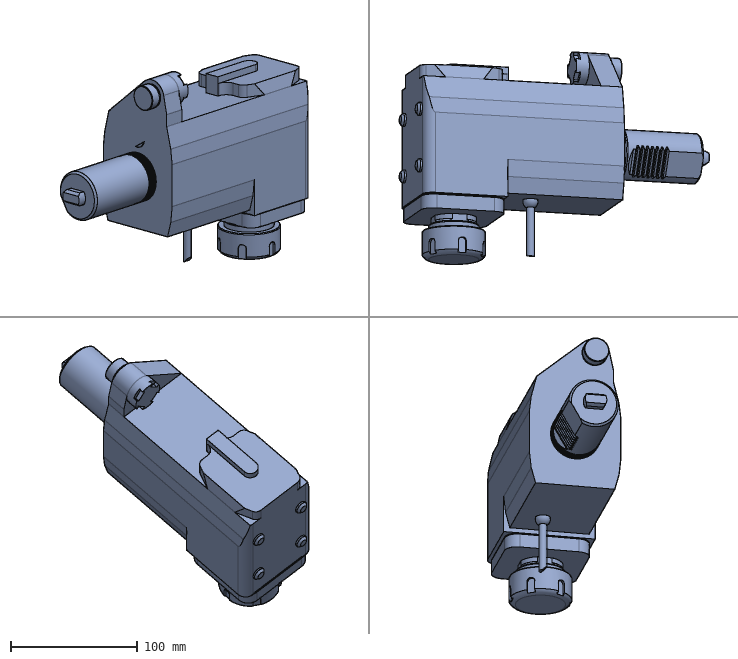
import cadquery as cq
import math


CLEARANCE = 2.5

BODY_HALF_WIDTH = 37.0
BODY_REAR = 163.7
BODY_TOP = 48.0
BODY_BOTTOM = -43.1
TOP_HALF_WIDTH = 31.1
BOTTOM_HALF_WIDTH = 32.0
KNEE_HALF_WIDTH = 35.5
KNEE_HEIGHT = 30.5
WALL_TOP = 18.0
WALL_BOTTOM = -17.0
UPPER_SIDE = [(TOP_HALF_WIDTH, BODY_TOP), (KNEE_HALF_WIDTH, KNEE_HEIGHT), (BODY_HALF_WIDTH, WALL_TOP)]

HEAD_FRONT = 95.8
HEAD_BOTTOM = -46.8
HEAD_CORNER = 8.3
FLANGE_BOTTOM = -58.8
FLANGE_HALF_WIDTH = 34.3
FLANGE_CORNER = 10.3
FLANGE_GROOVE = 0.7
SPINDLE_Y = (HEAD_FRONT + BODY_REAR) / 2
HEAD_LENGTH = BODY_REAR - HEAD_FRONT

CAP_TOP = 58.3
CAP_TOP_HALF_WIDTH = 28.0
CAP_END_HALF_WIDTH = 24.0
CAP_POINT_HALF_WIDTH = 37.3
CAP_CORNER = 6.1
BAR_TOP = 64.0
BAR_HALF_WIDTH = 6.4
BAR_FRONT = 86.5
BAR_REAR = 136.5
TAB_FILLET = 7.8

SCREW_SPACING_X = 46.0
SCREW_SPACING_Z = 45.5
SCREW_DIAMETER = 10.5
SCREW_HEIGHT = 3.5
SCREW_CHAMFER = 2.0

PIN_X = 15.2
PIN_Z = 70.5
EAR_RADIUS = 13.0
EAR_THICKNESS = 17.6
EAR_SHOULDER_Z = 58.0
PIN_DIAMETER = 20.0
PIN_NECK_DIAMETER = 18.9
PIN_NECK_LENGTH = 1.5
PIN_LENGTH = 10.3
PIN_CHAMFER = 0.5
PIN_HEAD_DIAMETER = 26.0
PIN_HEAD_REAR = 28.2
NOTCH_WIDTH = 8.8
NOTCH_DEPTH = 3.7
NOTCH_RADIAL = 3.5
NOTCH_COUNT = 4
NOTCH_FIRST_ANGLE = 45

SHANK_DIAMETER = 40.0
SHANK_END = -70.3
SHANK_CHAMFER = 1.7
RING_GROOVE_WIDTH = 1.5
RING_GROOVE_DEPTH = 0.7
RING_GROOVE_STARTS = (-1.0, -3.5, -6.4)

FLAT_TURN = 30
FLAT_DISTANCE = 17.0
FLAT_START = -12.3
TOOTH_FIRST = -16.0
TOOTH_SPAN = 24.0
TOOTH_COUNT = 7
TOOTH_PITCH = TOOTH_SPAN / (TOOTH_COUNT - 1)
TOOTH_DEPTH = 2.0
TOOTH_MOUTH = 3.5
TOOTH_ROOT = 1.0

TANG_DIAMETER = 17.5
TANG_HEIGHT = 10.8
TANG_END = -78.0
TANG_CHAMFER_HEIGHT = 2.0
TANG_CHAMFER_LENGTH = 3.0

MARK_DEPTH = 0.7
MARK_TAIL = (-2.5, 24.5)
MARK_BELLY = (4.0, 26.0)
MARK_TIP = (6.4, 30.1)

NECK_DIAMETER = 36.0
NECK_END = -62.7
COLLAR_DIAMETER = 40.0
COLLAR_START = -65.7
COLLAR_CHAMFER = 1.2
NUT_RADIUS = 25.0
NUT_START = -69.9
NUT_EDGE = 0.7
NUT_BOTTOM = -92.5
NUT_FACE_RADIUS = 19.9
NUT_BEVEL_HEIGHT = 3.5
NUT_BEVEL_MIDDLE_RADIUS = 23.0
NUT_BEVEL_MIDDLE_HEIGHT = 1.2
WRENCH_SIZE = 34.0
WRENCH_FLAT_END = -64.7
WRENCH_FLAT_COUNT = 4
SLOT_WIDTH = 6.4
SLOT_TOP = -79.0
SLOT_FLOOR_RADIUS = 23.0
SLOT_COUNT = 6

NOZZLE_X = -11.0
NOZZLE_Y = 69.9
BALL_DIAMETER = 12.0
BALL_DROP = 1.2
TUBE_DIAMETER = 6.4
TUBE_END = -88.7
TUBE_BEVEL = 4.0


def front_plane(y):
    """Plane facing the shank at the given y, with local x along X and local y along Z."""
    return cq.Workplane("XZ", origin=(0, y, 0))


def column(x, y, diameter, length, z=0.0):
    """Round bar along Y that starts at y and runs towards the shank tip."""
    return front_plane(y).center(x, z).circle(diameter / 2).extrude(length)


def mirrored(points):
    """Closed outline made of the right-hand points and their mirror images."""
    return points + [(-x, z) for x, z in reversed(points)]


def main_body():
    lower = [
        (BODY_HALF_WIDTH, WALL_BOTTOM),
        (KNEE_HALF_WIDTH, -KNEE_HEIGHT),
        (BOTTOM_HALF_WIDTH, BODY_BOTTOM),
    ]
    outline = mirrored(UPPER_SIDE + lower)
    return front_plane(HEAD_FRONT).polyline(outline).close().extrude(HEAD_FRONT)


def head_prism(right_side):
    """Prism over the length of the housing with the given right-hand outline and its mirror image."""
    return front_plane(BODY_REAR).polyline(mirrored(right_side)).close().extrude(BODY_REAR)


def spindle_head():
    rounded_block = (
        cq.Workplane("XY", origin=(0, SPINDLE_Y, HEAD_BOTTOM))
        .rect(2 * BODY_HALF_WIDTH, HEAD_LENGTH)
        .extrude(BODY_TOP - HEAD_BOTTOM)
        .edges("|Z and >Y")
        .fillet(HEAD_CORNER)
    )
    return rounded_block.intersect(head_prism(UPPER_SIDE + [(BODY_HALF_WIDTH, HEAD_BOTTOM)]))


def flange():
    def plate(inset, bottom, top):
        return (
            cq.Workplane("XY", origin=(0, SPINDLE_Y, bottom))
            .rect(2 * (FLANGE_HALF_WIDTH - inset), HEAD_LENGTH - 2 * inset)
            .extrude(top - bottom)
            .edges("|Z")
            .fillet(FLANGE_CORNER - inset)
        )

    groove_bottom = HEAD_BOTTOM - FLANGE_GROOVE
    return plate(0, FLANGE_BOTTOM, groove_bottom).union(plate(FLANGE_GROOVE, groove_bottom, HEAD_BOTTOM))


def top_cap():
    right_side = [
        (CAP_END_HALF_WIDTH, BODY_REAR),
        (CAP_POINT_HALF_WIDTH, SPINDLE_Y),
        (CAP_END_HALF_WIDTH, HEAD_FRONT),
    ]
    cap_base = cq.Workplane("XY", origin=(0, 0, BODY_TOP))
    plate = (
        cap_base.polyline(mirrored(right_side))
        .close()
        .extrude(CAP_TOP - BODY_TOP)
        .edges("|Z and (>Y or <Y)")
        .fillet(CAP_CORNER)
        .intersect(head_prism([(CAP_TOP_HALF_WIDTH, CAP_TOP), (TOP_HALF_WIDTH, BODY_TOP)]))
    )
    tab_root = BAR_HALF_WIDTH + TAB_FILLET
    tab_neck = HEAD_FRONT - TAB_FILLET
    arc_offset = TAB_FILLET * (1 - math.sqrt(0.5))
    tab = (
        cap_base.moveTo(-tab_root, HEAD_FRONT)
        .threePointArc((-BAR_HALF_WIDTH - arc_offset, HEAD_FRONT - arc_offset), (-BAR_HALF_WIDTH, tab_neck))
        .lineTo(-BAR_HALF_WIDTH, BAR_FRONT)
        .lineTo(BAR_HALF_WIDTH, BAR_FRONT)
        .lineTo(BAR_HALF_WIDTH, tab_neck)
        .threePointArc((BAR_HALF_WIDTH + arc_offset, HEAD_FRONT - arc_offset), (tab_root, HEAD_FRONT))
        .close()
        .extrude(CAP_TOP - BODY_TOP)
    )
    bar_round_start = BAR_REAR - BAR_HALF_WIDTH
    bar = (
        cq.Workplane("XY", origin=(0, 0, CAP_TOP))
        .moveTo(-BAR_HALF_WIDTH, BAR_FRONT)
        .lineTo(BAR_HALF_WIDTH, BAR_FRONT)
        .lineTo(BAR_HALF_WIDTH, bar_round_start)
        .threePointArc((0, BAR_REAR), (-BAR_HALF_WIDTH, bar_round_start))
        .close()
        .extrude(BAR_TOP - CAP_TOP)
    )
    return plate.union(tab).union(bar)


def cover_screws():
    return (
        front_plane(BODY_REAR + SCREW_HEIGHT)
        .rarray(SCREW_SPACING_X, SCREW_SPACING_Z, 2, 2)
        .circle(SCREW_DIAMETER / 2)
        .extrude(SCREW_HEIGHT)
        .faces(">Y")
        .edges()
        .chamfer(SCREW_CHAMFER)
    )


def ear_tangent(corner, side):
    """Angle of the point on the ear round where a line from the corner touches it (side is +1 or -1)."""
    dx = corner[0] - PIN_X
    dz = corner[1] - PIN_Z
    return math.atan2(dz, dx) + side * math.acos(EAR_RADIUS / math.hypot(dx, dz))


def ear():
    left_corner = (-TOP_HALF_WIDTH, BODY_TOP)
    right_corner = (TOP_HALF_WIDTH, EAR_SHOULDER_Z)
    left_angle = ear_tangent(left_corner, -1)
    right_angle = ear_tangent(right_corner, 1)

    def on_round(angle):
        return (PIN_X + EAR_RADIUS * math.cos(angle), PIN_Z + EAR_RADIUS * math.sin(angle))

    return (
        front_plane(EAR_THICKNESS)
        .moveTo(*left_corner)
        .lineTo(*on_round(left_angle))
        .threePointArc(on_round(math.pi / 2), on_round(right_angle))
        .lineTo(*right_corner)
        .lineTo(TOP_HALF_WIDTH, BODY_TOP)
        .close()
        .extrude(EAR_THICKNESS)
    )


def locating_pin():
    """Pin in the ear, with a slotted round head behind the ear and a plug in front of it."""
    head = column(PIN_X, PIN_HEAD_REAR, PIN_HEAD_DIAMETER, PIN_HEAD_REAR - EAR_THICKNESS, PIN_Z)
    notch_cutter = (
        front_plane(PIN_HEAD_REAR)
        .center(PIN_X, PIN_Z)
        .polarArray(PIN_HEAD_DIAMETER / 2, NOTCH_FIRST_ANGLE, 360, NOTCH_COUNT)
        .rect(2 * NOTCH_RADIAL, NOTCH_WIDTH)
        .extrude(NOTCH_DEPTH)
    )
    neck = column(PIN_X, 0, PIN_NECK_DIAMETER, PIN_NECK_LENGTH, PIN_Z)
    plug = column(PIN_X, -PIN_NECK_LENGTH, PIN_DIAMETER, PIN_LENGTH - PIN_NECK_LENGTH, PIN_Z)
    plug = plug.faces("<Y or >Y").edges().chamfer(PIN_CHAMFER)
    return head.cut(notch_cutter).union(neck).union(plug)


def clamping_cutter():
    """Flat with a 45 degree run-out and a row of tooth grooves, turned about the shank axis."""
    reach = SHANK_DIAMETER
    outer = SHANK_DIAMETER / 2 + CLEARANCE
    run_out = outer - FLAT_DISTANCE
    side_plane = cq.Workplane("XY", origin=(0, 0, -reach / 2))
    cutter = (
        side_plane.polyline([
            (-FLAT_DISTANCE, FLAT_START),
            (-outer, FLAT_START + run_out),
            (-outer, SHANK_END),
            (-FLAT_DISTANCE, SHANK_END),
        ])
        .close()
        .extrude(reach)
    )
    root = FLAT_DISTANCE - TOOTH_DEPTH
    for index in range(TOOTH_COUNT):
        y = TOOTH_FIRST - index * TOOTH_PITCH
        groove = (
            side_plane.polyline([
                (-FLAT_DISTANCE, y + TOOTH_MOUTH / 2),
                (-root, y + TOOTH_ROOT / 2),
                (-root, y - TOOTH_ROOT / 2),
                (-FLAT_DISTANCE, y - TOOTH_MOUTH / 2),
            ])
            .close()
            .extrude(reach)
        )
        cutter = cutter.union(groove)
    return cutter.rotate((0, 0, 0), (0, 1, 0), -FLAT_TURN)


def shank():
    body = column(0, 0, SHANK_DIAMETER, -SHANK_END).faces("<Y").edges().chamfer(SHANK_CHAMFER)
    for start in RING_GROOVE_STARTS:
        ring = (
            front_plane(start)
            .circle(SHANK_DIAMETER / 2 + CLEARANCE)
            .circle(SHANK_DIAMETER / 2 - RING_GROOVE_DEPTH)
            .extrude(RING_GROOVE_WIDTH)
        )
        body = body.cut(ring)
    return body.cut(clamping_cutter())


def drive_tang():
    length = SHANK_END - TANG_END
    half_height = TANG_HEIGHT / 2
    tip_half_height = half_height - TANG_CHAMFER_HEIGHT
    chamfer_start = TANG_END + TANG_CHAMFER_LENGTH
    blade = (
        cq.Workplane("YZ")
        .polyline([
            (SHANK_END, half_height),
            (chamfer_start, half_height),
            (TANG_END, tip_half_height),
            (TANG_END, -tip_half_height),
            (chamfer_start, -half_height),
            (SHANK_END, -half_height),
        ])
        .close()
        .extrude(TANG_DIAMETER, both=True)
    )
    return blade.intersect(column(0, SHANK_END, TANG_DIAMETER, length))


def arrow_mark():
    return (
        front_plane(MARK_DEPTH)
        .moveTo(*MARK_TAIL)
        .threePointArc(MARK_BELLY, MARK_TIP)
        .close()
        .extrude(MARK_DEPTH)
    )


def nozzle_ball():
    return cq.Workplane("XY", origin=(NOZZLE_X, NOZZLE_Y, BODY_BOTTOM - BALL_DROP)).sphere(BALL_DIAMETER / 2)


def build_housing():
    body = main_body()
    added = (spindle_head, flange, top_cap, cover_screws, ear, locating_pin, shank, drive_tang)
    for feature in added:
        body = body.union(feature())
    return body.cut(arrow_mark()).cut(nozzle_ball())


def build_spindle():
    """Collet spindle with its slotted nut, turned about the vertical spindle axis."""
    neck_radius = NECK_DIAMETER / 2
    collar_radius = COLLAR_DIAMETER / 2
    bevel_start = NUT_BOTTOM + NUT_BEVEL_HEIGHT
    bevel_middle = (NUT_BEVEL_MIDDLE_RADIUS, NUT_BOTTOM + NUT_BEVEL_MIDDLE_HEIGHT)
    body = (
        cq.Workplane("XZ", origin=(0, SPINDLE_Y, 0))
        .moveTo(0, FLANGE_BOTTOM)
        .lineTo(neck_radius, FLANGE_BOTTOM)
        .lineTo(neck_radius, NECK_END)
        .lineTo(collar_radius - COLLAR_CHAMFER, COLLAR_START + COLLAR_CHAMFER)
        .lineTo(collar_radius, COLLAR_START)
        .lineTo(collar_radius, NUT_START)
        .lineTo(NUT_RADIUS - NUT_EDGE, NUT_START)
        .lineTo(NUT_RADIUS, NUT_START - NUT_EDGE)
        .lineTo(NUT_RADIUS, bevel_start)
        .threePointArc(bevel_middle, (NUT_FACE_RADIUS, NUT_BOTTOM))
        .lineTo(0, NUT_BOTTOM)
        .close()
        .revolve(360, (0, 0, 0), (0, 1, 0))
    )
    axis = ((0, SPINDLE_Y, 0), (0, SPINDLE_Y, 1))

    flat_distance = WRENCH_SIZE / 2
    flat_depth = collar_radius - flat_distance
    flat_cutter = (
        cq.Workplane("XY", origin=(flat_distance + flat_depth / 2, SPINDLE_Y, WRENCH_FLAT_END))
        .rect(flat_depth, COLLAR_DIAMETER)
        .extrude(FLANGE_BOTTOM - WRENCH_FLAT_END)
    )
    for index in range(WRENCH_FLAT_COUNT):
        body = body.cut(flat_cutter.rotate(*axis, index * 360 / WRENCH_FLAT_COUNT))

    slot_round = SLOT_TOP - SLOT_WIDTH / 2
    slot_cutter = (
        cq.Workplane("YZ", origin=(SLOT_FLOOR_RADIUS, SPINDLE_Y, 0))
        .moveTo(-SLOT_WIDTH / 2, NUT_BOTTOM)
        .lineTo(-SLOT_WIDTH / 2, slot_round)
        .threePointArc((0, SLOT_TOP), (SLOT_WIDTH / 2, slot_round))
        .lineTo(SLOT_WIDTH / 2, NUT_BOTTOM)
        .close()
        .extrude(NUT_RADIUS - SLOT_FLOOR_RADIUS + CLEARANCE)
    )
    for index in range(SLOT_COUNT):
        body = body.cut(slot_cutter.rotate(*axis, index * 360 / SLOT_COUNT))
    return body


def build_nozzle():
    """Ball seated in the housing with a straight tube whose tip is bevelled on the +X side."""
    tube = (
        cq.Workplane("XY", origin=(NOZZLE_X, NOZZLE_Y, TUBE_END))
        .circle(TUBE_DIAMETER / 2)
        .extrude(BODY_BOTTOM - BALL_DROP - TUBE_END)
    )
    tube_side = NOZZLE_X + TUBE_DIAMETER / 2
    bevel_cutter = (
        cq.Workplane("XZ", origin=(0, NOZZLE_Y, 0))
        .moveTo(tube_side, TUBE_END + TUBE_BEVEL)
        .lineTo(tube_side - TUBE_BEVEL, TUBE_END)
        .lineTo(tube_side, TUBE_END)
        .close()
        .extrude(TUBE_DIAMETER, both=True)
    )
    return nozzle_ball().union(tube.cut(bevel_cutter))


housing = build_housing()
spindle = build_spindle()
nozzle = build_nozzle()
result = cq.Compound.makeCompound([housing.val(), spindle.val(), nozzle.val()])